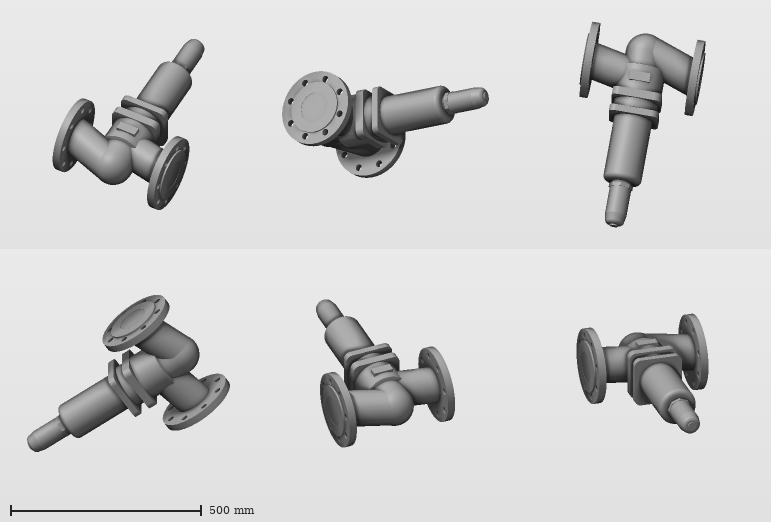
import cadquery as cq
import math


face_to_face = 310.0
raised_face_height = 5.0
raised_face_diameter = 138.0
port_recess_diameter = 80.0
port_recess_depth = 1.0
flange_diameter = 200.0
flange_thickness = 20.0
bolt_circle_diameter = 160.0
bolt_hole_diameter = 18.0
bolt_hole_count = 8
flange_outer_x = face_to_face / 2 - raised_face_height
flange_inner_x = flange_outer_x - flange_thickness

pipe_radius = 47.7
inlet_tilt = 20.0
outlet_tilt = 12.0
inlet_start_y = 0.0
outlet_start_y = 1.0

elbow_radius = 52.0
elbow_centre_y = -43.0

body_radius = 62.0
body_bottom_y = 3.5
body_taper_height = 3.5

square_side = 130.0
square_corner_radius = 17.5
body_flange_bottom_y = 73.5
body_flange_top_y = 95.0
bonnet_flange_bottom_y = 122.5
bonnet_flange_top_y = 139.5

ring_radius = 58.5
ring_top_y = 120.0
gap_radius = 54.0

bonnet_radius = 50.5
bonnet_top_y = 313.0
bonnet_rounding = 12.0

nut_across_corners = 63.0
nut_sides = 8
nut_bottom_y = 319.5
nut_top_y = 330.0
collar_radius = 26.0
nut_taper_height = 3.0
nut_taper_radius = 29.0

cap_radius = 28.5
cap_cone_bottom_y = 401.5
cap_cone_top_radius = 23.0
cap_top_y = 429.5
cap_rounding = 11.0
tip_radius = 11.0
tip_top_y = 432.7

plate_length = 53.5
plate_bottom_y = 25.5
plate_top_y = 49.5
plate_top_z = 66.5


def disc(radius, bottom_y, top_y):
    """Cylinder about the Y axis between two heights."""
    return cq.Workplane("XZ", origin=(0, bottom_y, 0)).circle(radius).extrude(bottom_y - top_y)


def cone(bottom_radius, top_radius, bottom_y, top_y):
    """Truncated cone about the Y axis between two heights."""
    height = top_y - bottom_y
    return cq.Workplane(
        cq.Solid.makeCone(bottom_radius, top_radius, height, cq.Vector(0, bottom_y, 0), cq.Vector(0, 1, 0))
    )


def square_flange(bottom_y, top_y):
    """Square plate with rounded corners, centred on the Y axis."""
    plate = cq.Workplane("XZ", origin=(0, bottom_y, 0)).rect(square_side, square_side)
    return plate.extrude(bottom_y - top_y).edges("|Y").fillet(square_corner_radius)


def pipe_flange(side):
    """Drilled flange with a recessed raised face; side is -1 for the inlet and +1 for the outlet."""
    flange = (
        cq.Workplane("YZ", origin=(side * flange_inner_x, 0, 0))
        .circle(flange_diameter / 2)
        .extrude(side * flange_thickness)
    )
    raised_face = (
        cq.Workplane("YZ", origin=(side * flange_outer_x, 0, 0))
        .circle(raised_face_diameter / 2)
        .extrude(side * raised_face_height)
    )
    half_pitch = 180 / bolt_hole_count
    holes = (
        cq.Workplane("YZ", origin=(side * flange_inner_x, 0, 0))
        .polarArray(bolt_circle_diameter / 2, half_pitch, 360, bolt_hole_count)
        .circle(bolt_hole_diameter / 2)
        .extrude(side * (flange_thickness + raised_face_height))
    )
    recess = (
        cq.Workplane("YZ", origin=(side * face_to_face / 2, 0, 0))
        .circle(port_recess_diameter / 2)
        .extrude(-side * port_recess_depth)
    )
    return flange.union(raised_face).cut(holes).cut(recess)


def tilted_pipe(side, start_y, rise_angle):
    """Pipe from a flange to the valve axis, climbing at rise_angle toward the axis.

    Its axis crosses the flange's inner face at start_y, and the flange end is
    trimmed square halfway through the flange.
    """
    slope = math.radians(rise_angle)
    direction = cq.Vector(-side * math.cos(slope), math.sin(slope), 0)
    face_point = cq.Vector(side * flange_inner_x, start_y, 0)
    length = flange_inner_x / math.cos(slope)
    start_point = face_point - direction * flange_thickness
    full_pipe = cq.Workplane(
        cq.Solid.makeCylinder(pipe_radius, length + flange_thickness, start_point, direction)
    )
    flange_middle_x = flange_inner_x + flange_thickness / 2
    trim = (
        cq.Workplane("YZ", origin=(side * flange_middle_x, 0, 0))
        .circle(flange_diameter / 2)
        .extrude(side * 2 * flange_thickness)
    )
    return full_pipe.cut(trim)


def elbow():
    """Round-bottomed passage under the body."""
    lowest_y = elbow_centre_y - elbow_radius
    bulge = elbow_radius * math.sqrt(0.5)
    profile = (
        cq.Workplane("XY")
        .moveTo(0, lowest_y)
        .threePointArc((bulge, elbow_centre_y - bulge), (elbow_radius, elbow_centre_y))
        .lineTo(elbow_radius, body_bottom_y)
        .lineTo(0, body_bottom_y)
        .close()
    )
    return profile.revolve(360, (0, 0, 0), (0, 1, 0))


def body():
    """Valve body with the tapered shoulder that runs into the elbow."""
    shoulder = cone(elbow_radius, body_radius, body_bottom_y - body_taper_height, body_bottom_y)
    return disc(body_radius, body_bottom_y, body_flange_bottom_y).union(shoulder)


def flange_stack():
    """Body flange, spacer rings and bonnet flange."""
    stack = square_flange(body_flange_bottom_y, body_flange_top_y)
    stack = stack.union(disc(ring_radius, body_flange_top_y, ring_top_y))
    stack = stack.union(disc(gap_radius, ring_top_y, bonnet_flange_bottom_y))
    return stack.union(square_flange(bonnet_flange_bottom_y, bonnet_flange_top_y))


def bonnet():
    """Spring bonnet with a rounded top edge."""
    return disc(bonnet_radius, bonnet_flange_top_y, bonnet_top_y).faces(">Y").edges().fillet(bonnet_rounding)


def lock_nut():
    """Octagonal nut on a short tapered collar, corners on the X and Z axes."""
    nut = (
        cq.Workplane("XZ", origin=(0, nut_bottom_y, 0))
        .polygon(nut_sides, nut_across_corners)
        .extrude(nut_bottom_y - nut_top_y)
    )
    taper = cone(collar_radius, nut_taper_radius, nut_bottom_y - nut_taper_height, nut_bottom_y)
    collar = disc(collar_radius, bonnet_top_y, nut_bottom_y - nut_taper_height)
    return nut.union(taper).union(collar)


def cap():
    """Protective cap with a conical, rounded end and a small tip disc."""
    sleeve = disc(cap_radius, nut_top_y, cap_cone_bottom_y)
    end = cone(cap_radius, cap_cone_top_radius, cap_cone_bottom_y, cap_top_y)
    end = end.faces(">Y").edges().fillet(cap_rounding)
    return sleeve.union(end).union(disc(tip_radius, cap_top_y, tip_top_y))


def label_plate():
    """Flat-topped pad on the +Z side of the body."""
    middle_y = (plate_bottom_y + plate_top_y) / 2
    pad = cq.Workplane("XY").center(0, middle_y).rect(plate_length, plate_top_y - plate_bottom_y)
    return pad.extrude(plate_top_z)


result = body().union(elbow())
result = result.union(tilted_pipe(-1, inlet_start_y, -inlet_tilt))
result = result.union(tilted_pipe(1, outlet_start_y, outlet_tilt))
for feature in (flange_stack(), bonnet(), lock_nut(), cap(), label_plate(), pipe_flange(-1), pipe_flange(1)):
    result = result.union(feature)